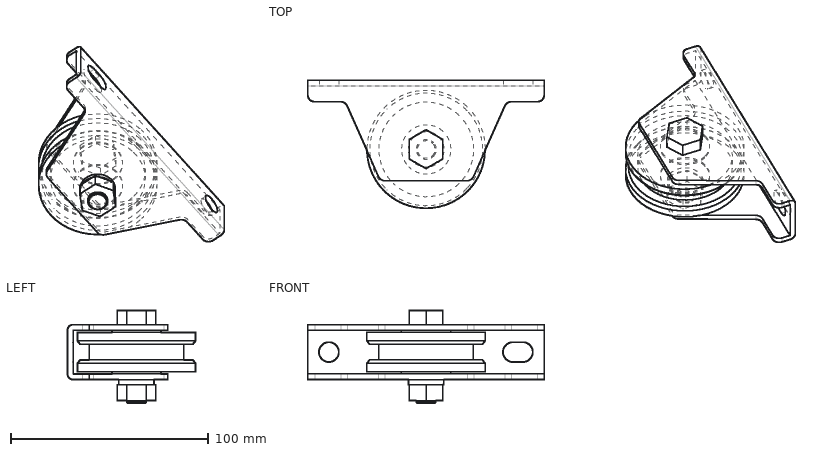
import cadquery as cq
import math

bracket_length = 120.0
bracket_height = 28.0
sheet = 3.0
bend_radius = 3.0
arm_depth = 51.0
ear_depth = 11.0
arm_root_half_width = 40.9
arm_tip_half_width = 23.2
corner_radius = 3.6

hole_diameter = 10.0
hole_x = -49.2
slot_x = 46.5
slot_length = 15.0

axle_y = -35.0
wheel_radius = 30.0
wheel_width = 20.0
rim_width = 4.3
bevel_width = 1.8
bevel_depth = 1.5
groove_radius = 24.0
hub_radius = 12.5

hex_across_flats = 17.0
head_height = 7.2
washer_radius = 9.0
washer_thickness = 2.5
nut_height = 8.0
bolt_radius = 5.0
bolt_tip_length = 1.3
bolt_tip_chamfer = 0.6

half_height = bracket_height / 2
inner_half_height = half_height - sheet


def make_bracket():
    """Bent channel trimmed to the arm outline."""
    half_length = bracket_length / 2
    channel = (
        cq.Workplane("XY")
        .box(bracket_length, arm_depth, bracket_height)
        .translate((0, -arm_depth / 2, 0))
        .edges("|X and >Y")
        .fillet(bend_radius)
    )
    gap = (
        cq.Workplane("XY")
        .box(bracket_length, arm_depth, 2 * inner_half_height)
        .translate((0, -arm_depth / 2 - sheet, 0))
    )
    outline = (
        cq.Workplane("XY")
        .workplane(offset=-half_height)
        .polyline([
            (-half_length, 0),
            (half_length, 0),
            (half_length, -ear_depth),
            (arm_root_half_width, -ear_depth),
            (arm_tip_half_width, -arm_depth),
            (-arm_tip_half_width, -arm_depth),
            (-arm_root_half_width, -ear_depth),
            (-half_length, -ear_depth),
        ])
        .close()
        .extrude(bracket_height)
        .edges("|Z and (not >Y)")
        .fillet(corner_radius)
    )
    return channel.cut(gap).intersect(outline)


def make_mounting_holes():
    """Round hole and slot cutters through the back wall."""
    back_wall = cq.Workplane("XZ")
    round_hole = back_wall.center(hole_x, 0).circle(hole_diameter / 2).extrude(sheet)
    slot = back_wall.center(slot_x, 0).slot2D(slot_length, hole_diameter).extrude(sheet)
    return round_hole.union(slot)


def make_wheel():
    """Wheel with bevelled rims, and hub faces touching both arms."""
    rim_face = wheel_width / 2
    bevel_start = rim_face - rim_width
    groove_edge = bevel_start - bevel_width
    bevel_radius = wheel_radius - bevel_depth
    upper_profile = [
        (hub_radius, inner_half_height),
        (hub_radius, rim_face),
        (wheel_radius, rim_face),
        (wheel_radius, bevel_start),
        (bevel_radius, groove_edge),
        (groove_radius, groove_edge),
    ]
    lower_profile = [(r, -z) for r, z in reversed(upper_profile)]
    profile = [(0, inner_half_height)] + upper_profile + lower_profile + [(0, -inner_half_height)]
    return (
        cq.Workplane("XZ")
        .polyline(profile)
        .close()
        .revolve(360, (0, 0, 0), (0, 1, 0))
        .translate((0, axle_y, 0))
    )


def axle_plane(z):
    """Horizontal workplane centred on the axle."""
    return cq.Workplane("XY", origin=(0, axle_y, z))


def make_hex(z, height):
    """Hexagonal prism with two flats facing +X and -X."""
    hex_radius = hex_across_flats / math.sqrt(3)
    corners = [
        (hex_radius * math.sin(i * math.pi / 3), hex_radius * math.cos(i * math.pi / 3))
        for i in range(6)
    ]
    return axle_plane(z).polyline(corners).close().extrude(height)


def make_fasteners():
    """Bolt head above the bracket; washer, nut and bolt tip below."""
    nut_top = -half_height - washer_thickness
    nut_bottom = nut_top - nut_height
    head = make_hex(half_height, head_height)
    washer = axle_plane(nut_top).circle(washer_radius).extrude(washer_thickness)
    nut = make_hex(nut_bottom, nut_height)
    tip = (
        axle_plane(nut_bottom - bolt_tip_length)
        .circle(bolt_radius)
        .extrude(bolt_tip_length)
        .faces("<Z")
        .chamfer(bolt_tip_chamfer)
    )
    return head.union(washer).union(nut).union(tip)


bracket = make_bracket().cut(make_mounting_holes())
result = bracket.union(make_wheel()).union(make_fasteners())